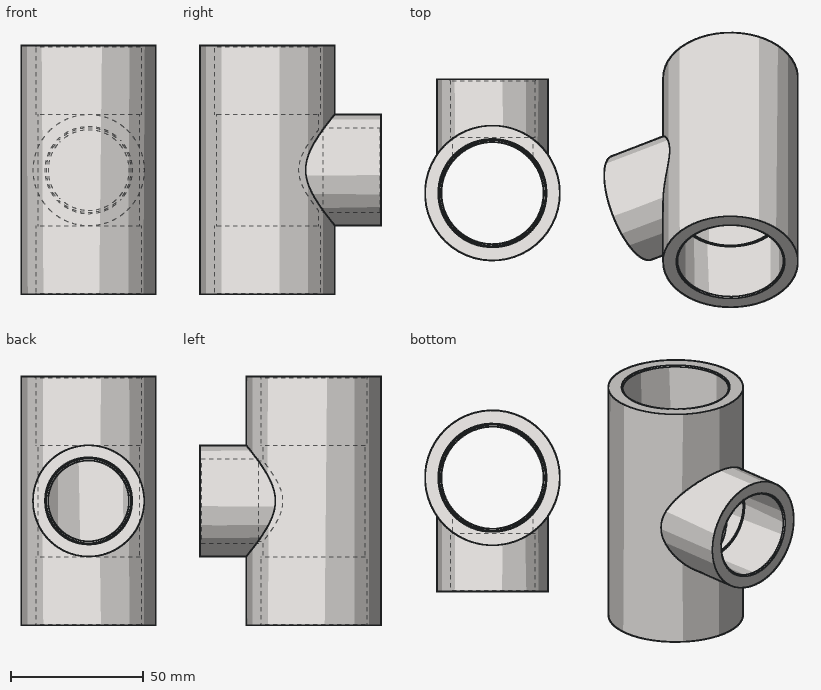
import cadquery as cq

run_outer_dia = 51.0
run_length = 94.0
run_socket_dia = 40.0
run_bore_dia = 38.5
run_socket_depth = 26.0

branch_outer_dia = 42.0
branch_reach = 43.0
branch_socket_dia = 32.0
branch_bore_dia = 30.5
branch_socket_depth = 22.0

lead_in = 0.5


def socket(dia, depth):
    """Socket cutter with its mouth at Z = 0, reaching down to Z = -depth."""
    cylinder = cq.Workplane("XY").circle(dia / 2).extrude(-depth)
    lead_in_cone = (
        cq.Workplane("XY")
        .circle(dia / 2 + lead_in)
        .workplane(offset=-lead_in)
        .circle(dia / 2)
        .loft()
    )
    return cylinder.union(lead_in_cone)


def toward_branch(shape):
    """Turn a shape pointing along +Z so that it points along +Y."""
    return shape.rotate((0, 0, 0), (1, 0, 0), -90)


def tee_body():
    run = cq.Workplane("XY").circle(run_outer_dia / 2).extrude(run_length / 2, both=True)
    branch = cq.Workplane("XY").circle(branch_outer_dia / 2).extrude(branch_reach)
    return run.union(toward_branch(branch))


def bores():
    run_bore = cq.Workplane("XY").circle(run_bore_dia / 2).extrude(run_length / 2, both=True)
    branch_bore = cq.Workplane("XY").circle(branch_bore_dia / 2).extrude(branch_reach)
    return run_bore.union(toward_branch(branch_bore))


run_socket = socket(run_socket_dia, run_socket_depth)
top_socket = run_socket.translate((0, 0, run_length / 2))
bottom_socket = top_socket.mirror("XY")
branch_socket = toward_branch(
    socket(branch_socket_dia, branch_socket_depth).translate((0, 0, branch_reach))
)

result = tee_body().cut(bores())
for cutter in (top_socket, bottom_socket, branch_socket):
    result = result.cut(cutter)